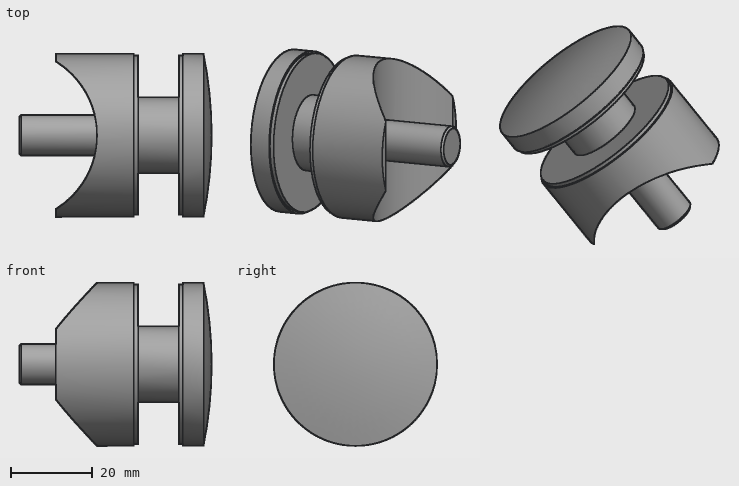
import cadquery as cq
import math

overall_length = 47.1
outer_diameter = 40.0
lip_step = 0.45
lip_thickness = 1.0
grip_gap = 10.0
neck_diameter = 18.65
stud_diameter = 10.0
stud_chamfer = 0.5
stud_projection = 9.0
saddle_length = 19.1
saddle_curve_radius = 21.2
saddle_curve_depth = 10.05
cap_rim_thickness = 5.05

outer_radius = outer_diameter / 2
lip_radius = outer_radius - lip_step
neck_radius = neck_diameter / 2
stud_radius = stud_diameter / 2
stud_end_x = -overall_length / 2
saddle_tip_x = stud_end_x + stud_projection
saddle_rim_x = saddle_tip_x + saddle_length
saddle_face_x = saddle_rim_x + lip_thickness
cap_face_x = saddle_face_x + grip_gap
cap_rim_x = cap_face_x + lip_thickness
dome_edge_x = cap_rim_x + cap_rim_thickness
dome_height = overall_length / 2 - dome_edge_x


def disc(radius, start_x, end_x):
    """Solid cylinder on the X axis between two stations."""
    return cq.Workplane("YZ", origin=(start_x, 0, 0)).circle(radius).extrude(end_x - start_x)


def make_saddle():
    """Round base with a lip, a concave seat for a vertical post and a through hole for the stud."""
    base = disc(outer_radius, saddle_tip_x, saddle_rim_x)
    lip = disc(lip_radius, saddle_rim_x, saddle_face_x)
    post_axis_x = saddle_tip_x + saddle_curve_depth - saddle_curve_radius
    post = (
        cq.Workplane("XY")
        .center(post_axis_x, 0)
        .circle(saddle_curve_radius)
        .extrude(outer_radius, both=True)
    )
    stud_hole = disc(stud_radius, saddle_tip_x, saddle_face_x)
    return base.union(lip).cut(post).cut(stud_hole)


def make_stud():
    """Chamfered pin filling the saddle's hole and ending flush with its lip face."""
    return disc(stud_radius, stud_end_x, saddle_face_x).faces("<X").chamfer(stud_chamfer)


def make_cap():
    """Domed disc with a lip and a neck that bears against the saddle's lip face."""
    dome_radius = (outer_radius**2 + dome_height**2) / (2 * dome_height)
    half_angle = math.asin(outer_radius / dome_radius) / 2
    dome_center_x = overall_length / 2 - dome_radius
    dome_middle = (
        dome_center_x + dome_radius * math.cos(half_angle),
        dome_radius * math.sin(half_angle),
    )
    return (
        cq.Workplane("XY")
        .moveTo(saddle_face_x, 0)
        .lineTo(saddle_face_x, neck_radius)
        .lineTo(cap_face_x, neck_radius)
        .lineTo(cap_face_x, lip_radius)
        .lineTo(cap_rim_x, lip_radius)
        .lineTo(cap_rim_x, outer_radius)
        .lineTo(dome_edge_x, outer_radius)
        .threePointArc(dome_middle, (overall_length / 2, 0))
        .close()
        .revolve(360, (0, 0, 0), (1, 0, 0))
    )


saddle = make_saddle()
stud = make_stud()
cap = make_cap()

result = cq.Compound.makeCompound([saddle.val(), stud.val(), cap.val()])